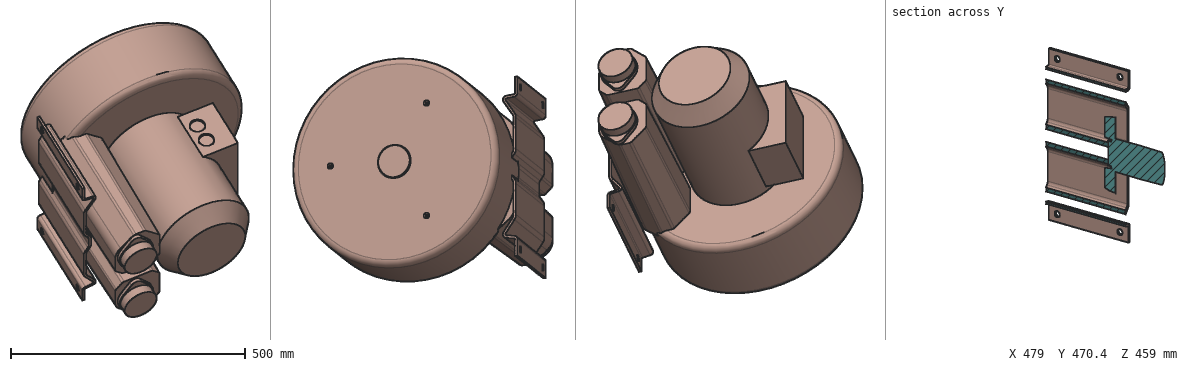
import cadquery as cq
import math

drum_radius = 229.5
drum_length = 160.5
drum_fillet = 15.0
hub_radius = 36.5
hub_height = 4.0
hub_chamfer = 1.5
screw_hole_count = 3
screw_hole_circle = 142.7
screw_hole_diameter = 5.7
screw_hole_depth = 14.5
countersink_diameter = 12.5
countersink_angle = 90.0
rim_height = 57.5
rim_depth = 28.7

silencer_start = 139.5
silencer_end = 446.0
silencer_taper = 1.0
silencer_outer_y = -226.5
silencer_inner_y = -109.5
silencer_bottom_z = 10.5
silencer_top_z = 141.0
bottom_chamfer = 21.0
inner_top_chamfer = 38.0
outer_chamfer_width = 50.0
outer_chamfer_height = 42.5
broad_edge_radius = 35.5
edge_radius = 8.0

pipe_y = -175.0
pipe_z = 76.5
pipe_radius = 38.5
pipe_end = 475.0
flange_end = 454.5
flange_radius = 40.5
lobe_radius = 15.5
lobe_distance = 40.5

motor_radius = 109.5
motor_shoulder = 423.0
motor_end = 463.5
motor_end_radius = 80.5

box_start = 172.5
box_length = 120.0
box_outer_y = 148.5
box_height = 177.0
cable_entry_diameter = 33.0
cable_entry_depth = 5.0
cable_entry_spacing = 42.5
cable_entry_first_x = 212.0
cable_entry_y = 92.0

sheet_thickness = 5.7
bracket_start = 112.5
bracket_length = 215.5
foot_y = -238.0
web_y = -234.5
foot_end_z = 197.0
foot_bend_z = 156.0
tip_y = -207.0
tip_z = 152.5
web_top_z = 111.5
web_bottom_z = 33.0
middle_z = 15.5
slope = (tip_y - web_y) / (tip_z - web_top_z)
middle_y = web_y + slope * (web_bottom_z - middle_z)
tight_bend = 5.7
wide_bend = 17.0
mount_hole_diameter = 14.0
mount_hole_z = 178.0
mount_hole_margin = 23.0


def x_cylinder(start, end, radius, y=0.0, z=0.0):
    """Cylinder along X between two x positions."""
    return cq.Workplane("YZ", origin=(start, y, z)).circle(radius).extrude(end - start)


def make_drum():
    """Rounded drum with the hub disc and the countersunk holes on its front face."""
    drum = x_cylinder(0, drum_length, drum_radius).edges().fillet(drum_fillet)
    hub = x_cylinder(-hub_height, 0, hub_radius).faces("<X").chamfer(hub_chamfer)
    front_plane = cq.Plane(origin=(0, 0, 0), xDir=(0, 1, 0), normal=(-1, 0, 0))
    return (
        drum.union(hub)
        .copyWorkplane(cq.Workplane(front_plane))
        .polarArray(screw_hole_circle, 0, 360, screw_hole_count)
        .cskHole(screw_hole_diameter, countersink_diameter, countersink_angle, screw_hole_depth)
    )


def make_square_rim():
    """Stretch of the drum's rear rim between the silencers that is left unrounded."""
    rim_length = drum_length - silencer_start
    window = (
        cq.Workplane("YZ", origin=(silencer_start, -drum_radius, 0))
        .rect(2 * rim_depth, rim_height)
        .extrude(rim_length)
    )
    return x_cylinder(silencer_start, drum_length, drum_radius).intersect(window)


def make_silencer():
    """Tapered prism with rounded long edges."""
    corners = [
        (silencer_outer_y, silencer_bottom_z + bottom_chamfer, edge_radius),
        (silencer_outer_y, silencer_top_z - outer_chamfer_height, broad_edge_radius),
        (silencer_outer_y + outer_chamfer_width, silencer_top_z, edge_radius),
        (silencer_inner_y - inner_top_chamfer, silencer_top_z, edge_radius),
        (silencer_inner_y, silencer_top_z - inner_top_chamfer, edge_radius),
        (silencer_inner_y, silencer_bottom_z + bottom_chamfer, edge_radius),
        (silencer_inner_y - bottom_chamfer, silencer_bottom_z, edge_radius),
        (silencer_outer_y + bottom_chamfer, silencer_bottom_z, edge_radius),
    ]
    body = (
        cq.Workplane("YZ", origin=(silencer_start, 0, 0))
        .polyline([(y, z) for y, z, radius in corners])
        .close()
        .extrude(silencer_end - silencer_start, taper=silencer_taper)
    )
    middle_x = (silencer_start + silencer_end) / 2
    for y, z, radius in corners:
        body = body.edges(cq.selectors.NearestToPointSelector((middle_x, y, z))).fillet(radius)
    return body


def make_pipe_end():
    """Flange with a lobe above and below the pipe, and the pipe stub behind it."""
    tangent_sin = (flange_radius - lobe_radius) / lobe_distance
    tangent_cos = math.sqrt(1 - tangent_sin**2)
    center_touch = (flange_radius * tangent_cos, flange_radius * tangent_sin)
    lobe_touch = (lobe_radius * tangent_cos, lobe_distance + lobe_radius * tangent_sin)
    flange = (
        cq.Workplane("YZ", origin=(silencer_end, pipe_y, pipe_z))
        .moveTo(*center_touch)
        .lineTo(*lobe_touch)
        .threePointArc((0, lobe_distance + lobe_radius), (-lobe_touch[0], lobe_touch[1]))
        .lineTo(-center_touch[0], center_touch[1])
        .threePointArc((-flange_radius, 0), (-center_touch[0], -center_touch[1]))
        .lineTo(-lobe_touch[0], -lobe_touch[1])
        .threePointArc((0, -lobe_distance - lobe_radius), (lobe_touch[0], -lobe_touch[1]))
        .lineTo(center_touch[0], -center_touch[1])
        .threePointArc((flange_radius, 0), center_touch)
        .close()
        .extrude(flange_end - silencer_end)
    )
    return flange.union(x_cylinder(flange_end, pipe_end, pipe_radius, pipe_y, pipe_z))


def make_casing():
    """Drum and both silencers in one piece."""
    casing = make_drum().union(make_square_rim())
    silencer = make_silencer().union(make_pipe_end())
    return casing.union(silencer).union(silencer.mirror("XY"))


def make_terminal_box():
    """Box reaching in to the motor axis, so that it joins the round motor."""
    box = (
        cq.Workplane("XY", origin=(box_start, 0, -box_height / 2))
        .rect(box_length, box_outer_y, centered=False)
        .extrude(box_height)
    )
    pair_middle_x = cable_entry_first_x + cable_entry_spacing / 2
    entries = (
        cq.Workplane("XY", origin=(pair_middle_x, cable_entry_y, box_height / 2))
        .rarray(cable_entry_spacing, 5, 2, 1)
        .circle(cable_entry_diameter / 2)
        .extrude(-cable_entry_depth)
    )
    return box.cut(entries)


def make_motor():
    """Cylinder with a conical far end, carrying the terminal box."""
    outline = [
        (drum_length, 0),
        (drum_length, motor_radius),
        (motor_shoulder, motor_radius),
        (motor_end, motor_end_radius),
        (motor_end, 0),
    ]
    body = cq.Workplane("XY").polyline(outline).close().revolve(360, (0, 0, 0), (1, 0, 0))
    return body.union(make_terminal_box())


def bend_path():
    """Rounded middle line of the bent sheet, from the top edge to the bottom edge."""
    half = [
        (foot_y, foot_end_z, None),
        (foot_y, foot_bend_z, tight_bend),
        (tip_y, tip_z, tight_bend),
        (web_y, web_top_z, wide_bend),
        (web_y, web_bottom_z, wide_bend),
        (middle_y, middle_z, wide_bend),
    ]
    corners = half + [(y, -z, radius) for y, z, radius in reversed(half)]
    middle_x = bracket_start + bracket_length / 2
    path = cq.Wire.makePolygon([cq.Vector(middle_x, y, z) for y, z, radius in corners])
    for bend_radius in (tight_bend, wide_bend):
        bends = [cq.Vector(middle_x, y, z) for y, z, radius in corners if radius == bend_radius]
        vertices = [v for v in path.Vertices() if any(v.Center() == bend for bend in bends)]
        path = path.fillet(bend_radius, vertices)
    return path


def make_bracket():
    """Bent sheet with four mounting holes, on the -Y side of the casing."""
    middle_x = bracket_start + bracket_length / 2
    sheet = (
        cq.Workplane("XY", origin=(middle_x, foot_y, foot_end_z))
        .rect(bracket_length, sheet_thickness)
        .sweep(bend_path())
    )
    holes = (
        cq.Workplane("XZ", origin=(middle_x, foot_y, 0))
        .rarray(bracket_length - 2 * mount_hole_margin, 2 * mount_hole_z, 2, 2)
        .circle(mount_hole_diameter / 2)
        .extrude(sheet_thickness, both=True)
    )
    drum_clearance = x_cylinder(0, drum_length, drum_radius)
    return sheet.cut(holes).cut(drum_clearance)


casing = make_casing()
motor = make_motor()
bracket = make_bracket()
bodies = (casing, motor, bracket)
result = cq.Compound.makeCompound([body.solids().val() for body in bodies])